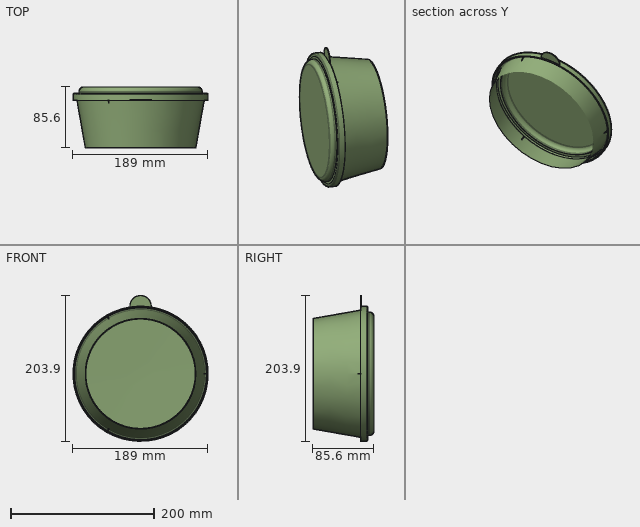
import cadquery as cq
import math


total_height = 85.55
lid_radius = 94.5
wall = 1.0

rim_edge_y = 66.5
lid_step_y = 76.6
lid_top_radius = 86.4
lid_top_round = 6.8
skirt_round = 2.0

tab_reach = 109.44
tab_radius = 15.0
tab_thickness = 1.2

base_radius = 77.4
wall_slope = math.tan(math.radians(10))
base_dome = 1.5
rim_outer_radius = lid_radius - wall
rim_inner_radius = rim_outer_radius - wall
rim_draft = 0.4
rim_floor_y = 72.5
neck_round = 1.0
rim_top_y = lid_step_y - wall

rib_count = 3
rib_foot_y = 63.2
rib_bend_offset = 0.6
rib_bend_y = 67.0
rib_end_y = 69.0
rib_thickness = 1.0


def wall_radius(y):
    """Outer radius of the tub wall at height y."""
    return base_radius + wall_slope * y


def revolve_profile(profile):
    """Turn a closed radius-height profile about the Y axis."""
    return profile.close().revolve(360, (0, 0, 0), (0, 1, 0))


def arc_middle(center_r, center_y, radius):
    """Middle of a convex quarter round on the outer top corner."""
    offset = radius * math.sqrt(0.5)
    return (center_r + offset, center_y + offset)


def make_lid():
    inner_top_radius = lid_top_radius - wall
    inner_top_round = lid_top_round - wall
    inner_skirt_round = skirt_round - wall
    inner_top_y = total_height - wall
    skirt_center = (lid_radius - skirt_round, lid_step_y - skirt_round)
    top_center = (lid_top_radius - lid_top_round, total_height - lid_top_round)

    shell = revolve_profile(
        cq.Workplane("XY")
        .moveTo(rim_outer_radius, rim_edge_y)
        .lineTo(lid_radius, rim_edge_y)
        .lineTo(lid_radius, skirt_center[1])
        .threePointArc(arc_middle(*skirt_center, skirt_round), (skirt_center[0], lid_step_y))
        .lineTo(lid_top_radius, lid_step_y)
        .lineTo(lid_top_radius, top_center[1])
        .threePointArc(arc_middle(*top_center, lid_top_round), (top_center[0], total_height))
        .lineTo(0, total_height)
        .lineTo(0, inner_top_y)
        .lineTo(top_center[0], inner_top_y)
        .threePointArc(arc_middle(*top_center, inner_top_round), (inner_top_radius, top_center[1]))
        .lineTo(inner_top_radius, rim_top_y)
        .lineTo(skirt_center[0], rim_top_y)
        .threePointArc(arc_middle(*skirt_center, inner_skirt_round), (rim_outer_radius, skirt_center[1]))
    )
    return shell.union(make_tab())


def make_tab():
    """Flat tongue flush with the skirt edge, cut away where the tub rim sits."""
    tab_center_z = tab_reach - tab_radius
    disc = cq.Workplane("XZ", origin=(0, rim_edge_y, tab_center_z)).circle(tab_radius).extrude(-tab_thickness)
    opening = cq.Workplane("XZ", origin=(0, rim_edge_y, 0)).circle(rim_outer_radius).extrude(-tab_thickness)
    return disc.cut(opening)


def make_tub():
    neck_y = rim_floor_y - neck_round
    neck_radius = wall_radius(neck_y)
    neck_middle = (
        neck_radius + neck_round * (1 - math.sqrt(0.5)),
        neck_y + neck_round * math.sqrt(0.5),
    )
    rim_round = skirt_round - wall
    rim_round_center = (rim_outer_radius - rim_round, rim_top_y - rim_round)

    body = revolve_profile(
        cq.Workplane("XY")
        .moveTo(0, base_dome)
        .lineTo(base_radius, 0)
        .lineTo(neck_radius, neck_y)
        .threePointArc(neck_middle, (neck_radius + neck_round, rim_floor_y))
        .lineTo(rim_inner_radius - rim_draft, rim_floor_y)
        .lineTo(rim_inner_radius, rim_edge_y)
        .lineTo(rim_outer_radius, rim_edge_y)
        .lineTo(rim_outer_radius, rim_round_center[1])
        .threePointArc(arc_middle(*rim_round_center, rim_round), (rim_round_center[0], rim_top_y))
        .lineTo(wall_radius(rim_top_y) - wall, rim_top_y)
        .lineTo(base_radius - wall, wall)
        .lineTo(0, base_dome + wall)
    )
    for index in range(rib_count):
        body = body.union(make_rib(index * 360 / rib_count))
    return body


def rim_inner_radius_at(y):
    """Radius of the tapered inner face of the rim at height y."""
    return rim_inner_radius - rim_draft * (y - rim_edge_y) / (rim_floor_y - rim_edge_y)


def make_rib(angle):
    """Stacking rib that bridges the groove from the tub wall to the rim."""
    embed = wall / 2
    return (
        cq.Workplane("XY")
        .moveTo(wall_radius(rib_foot_y) - embed, rib_foot_y)
        .lineTo(wall_radius(rib_foot_y), rib_foot_y)
        .lineTo(wall_radius(rib_bend_y) + rib_bend_offset, rib_bend_y)
        .lineTo(rim_inner_radius_at(rib_end_y) + embed, rib_end_y)
        .lineTo(rim_inner_radius_at(rib_end_y) + embed, rim_floor_y + embed)
        .lineTo(wall_radius(rim_floor_y) - embed, rim_floor_y + embed)
        .close()
        .extrude(rib_thickness / 2, both=True)
        .rotate((0, 0, 0), (0, 1, 0), angle)
    )


tub = make_tub()
lid = make_lid()

result = cq.Compound.makeCompound([tub.val(), lid.val()])